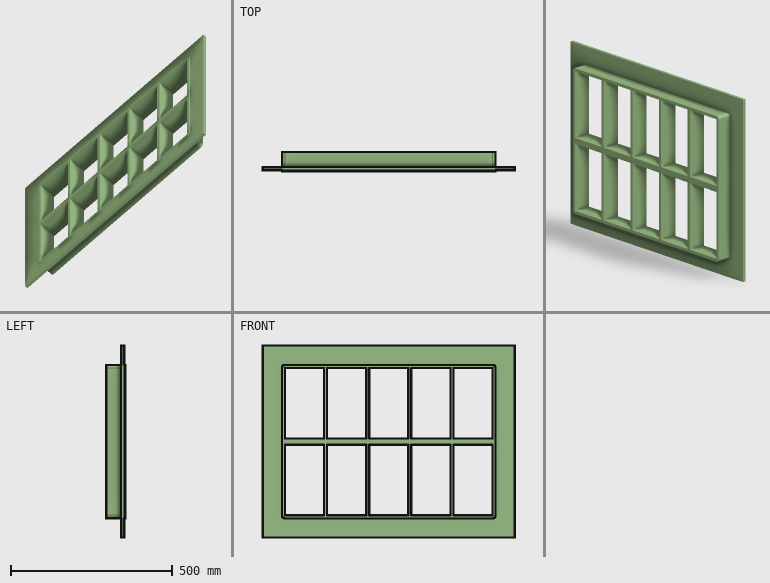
import cadquery as cq

flange_width = 782.5
flange_height = 596.0
flange_thickness = 10.0
flange_margin = 60.0

box_depth = 60.0
box_lip = 3.0
box_corner_radius = 10.0
box_width = flange_width - 2 * flange_margin
box_height = flange_height - 2 * flange_margin

columns = 5
rows = 2
wall = 10.0
column_bar = 10.0
row_bar = 20.0
window_width = (box_width - 2 * wall - (columns - 1) * column_bar) / columns
window_height = (box_height - 2 * wall - (rows - 1) * row_bar) / rows


def block(width, height, front_y, depth):
    """Block centred on X and Z that runs from front_y toward +Y."""
    return (
        cq.Workplane("XZ", origin=(0, front_y, 0))
        .rect(width, height)
        .extrude(-depth)
    )


def make_flange():
    return block(flange_width, flange_height, box_lip, flange_thickness)


def make_box():
    box = block(box_width, box_height, 0, box_depth)
    return box.edges("|Y").fillet(box_corner_radius)


def make_windows():
    """Square-cornered openings through the full depth of the box."""
    return (
        cq.Workplane("XZ")
        .rarray(window_width + column_bar, window_height + row_bar, columns, rows)
        .rect(window_width, window_height)
        .extrude(-box_depth)
    )


result = make_flange().union(make_box()).cut(make_windows())